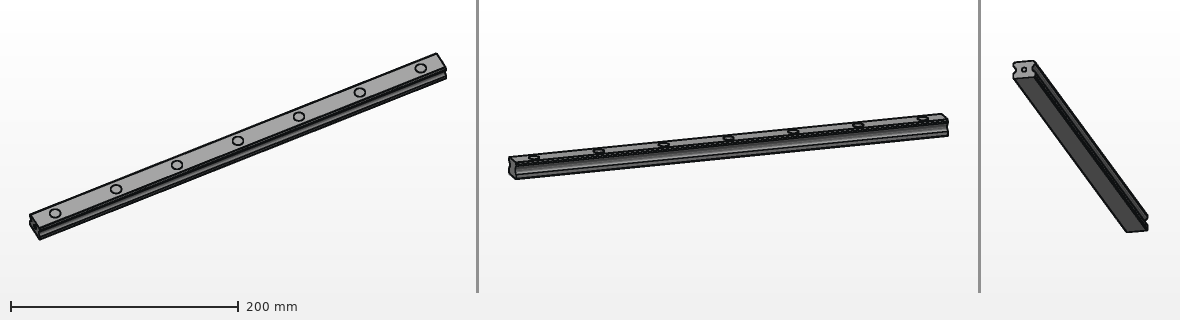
import cadquery as cq

LENGTH = 400.0
WIDTH = 20.0
HEIGHT = 15.5

TOP_FLAT_WIDTH = 16.8
SHOULDER_WIDTH = 17.2
SHOULDER_HEIGHT = 15.1
HEAD_SIDE_TOP = 13.9
HEAD_SIDE_BOTTOM = 12.4
UNDERCUT_WIDTH = 17.3
UNDERCUT_HEIGHT = 10.6

WAIST_WIDTH = 15.0
WAIST_TOP = 9.3
WAIST_BOTTOM = 7.0
WAIST_FILLET = 0.9

BASE_SIDE_TOP = 4.6
BOTTOM_CHAMFER = 1.0

CAP_DIAMETER = 9.5
CAP_DEPTH = 0.2
CAP_PITCH = 60.0
CAP_COUNT = 7

END_RECESS_DIAMETER = 4.0
END_RECESS_DEPTH = 0.3
END_RECESS_HEIGHT = HEIGHT / 2


def half_section():
    """Right half of the rail section, from the centre line outwards, without fillets."""
    half_width = WIDTH / 2
    half_waist = WAIST_WIDTH / 2
    return (
        cq.Workplane("XZ")
        .lineTo(half_width - BOTTOM_CHAMFER, 0)
        .lineTo(half_width, BOTTOM_CHAMFER)
        .lineTo(half_width, BASE_SIDE_TOP)
        .lineTo(half_waist, WAIST_BOTTOM)
        .lineTo(half_waist, WAIST_TOP)
        .lineTo(UNDERCUT_WIDTH / 2, UNDERCUT_HEIGHT)
        .lineTo(half_width, HEAD_SIDE_BOTTOM)
        .lineTo(half_width, HEAD_SIDE_TOP)
        .lineTo(SHOULDER_WIDTH / 2, SHOULDER_HEIGHT)
        .lineTo(TOP_FLAT_WIDTH / 2, HEIGHT)
        .lineTo(0, HEIGHT)
        .close()
    )


def rail_body():
    """Waisted rail, symmetric about X = 0 and centred along Y."""
    half = half_section().extrude(LENGTH / 2, both=True)
    for corner_height in (WAIST_BOTTOM, WAIST_TOP):
        corner = (WAIST_WIDTH / 2, 0, corner_height)
        half = half.edges("|Y").edges(cq.selectors.NearestToPointSelector(corner)).fillet(WAIST_FILLET)
    return half.union(half.mirror("YZ")).clean()


def cap_recesses():
    """Row of shallow discs, centred along the rail, sunk into its top."""
    row = cq.Workplane("XY", origin=(0, 0, HEIGHT)).rarray(1, CAP_PITCH, 1, CAP_COUNT)
    return row.circle(CAP_DIAMETER / 2).extrude(-CAP_DEPTH)


def end_recess():
    """Shallow round recess sunk into the -Y end face."""
    mouth = cq.Workplane("XZ", origin=(0, -LENGTH / 2, END_RECESS_HEIGHT))
    return mouth.circle(END_RECESS_DIAMETER / 2).extrude(-END_RECESS_DEPTH)


result = rail_body().cut(cap_recesses()).cut(end_recess())